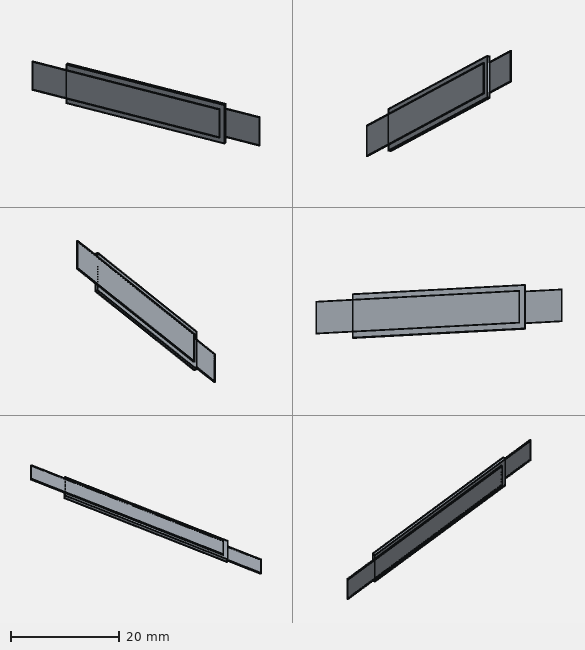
import cadquery as cq

plate_length = 32.7
plate_height = 8.2
plate_thickness = 0.55

strip_height = 6.0
strip_thickness = 0.2
end_margin = 1.0
overall_length = 46.5

overhang = (overall_length - plate_length) / 2
strip_length = plate_length - end_margin + overhang
strip_offset_x = (overall_length - strip_length) / 2
strip_offset_y = (plate_thickness + strip_thickness) / 2


def make_strip(side):
    """Strip on the front face running to -X (side=-1) or the back face running to +X (side=1)."""
    strip = cq.Workplane("XY").box(strip_length, strip_thickness, strip_height)
    return strip.translate((side * strip_offset_x, side * strip_offset_y, 0))


result = cq.Workplane("XY").box(plate_length, plate_thickness, plate_height)
for side in (-1, 1):
    result = result.union(make_strip(side))